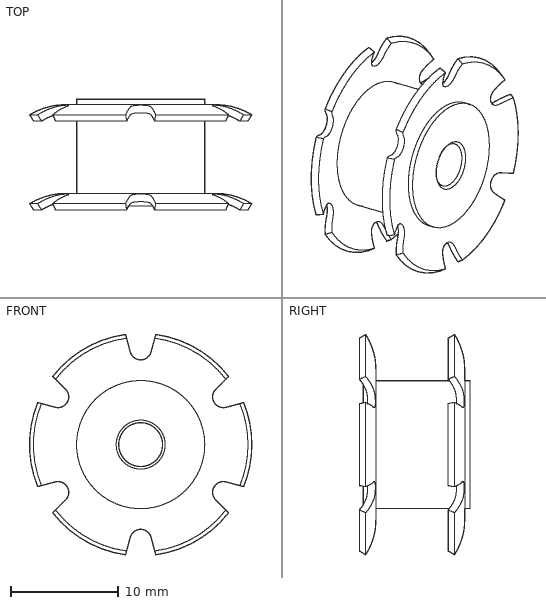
import cadquery as cq
import math

hub_length = 10.0
hub_radius = 5.98
boss_height = 0.5
bore_radius = 2.04
bore_chamfer = 0.25

rim_radius = 10.38
flange_thickness = 0.7
flat_radius = 7.0
curl_radius = 6.44

notch_count = 6
notch_radius = 1.0
notch_floor = 7.91
notch_half_angle = math.radians(15)

hub_front = -hub_length / 2
hub_back = hub_length / 2
flange_backs = (hub_front + boss_height + flange_thickness, hub_back - boss_height)


def flange(back):
    """Revolve a plate with a concentric curled rim; its flat back face is at y = back."""
    curl_angle = math.asin((rim_radius - flat_radius) / curl_radius)

    def curl_point(radius, angle):
        return (
            flat_radius + radius * math.sin(angle),
            back - curl_radius + radius * math.cos(angle),
        )

    concave_radius = curl_radius - flange_thickness
    return (
        cq.Workplane("XY")
        .moveTo(0, back)
        .lineTo(flat_radius, back)
        .threePointArc(curl_point(curl_radius, curl_angle / 2), curl_point(curl_radius, curl_angle))
        .lineTo(*curl_point(concave_radius, curl_angle))
        .threePointArc(
            curl_point(concave_radius, curl_angle / 2),
            (flat_radius, back - flange_thickness),
        )
        .lineTo(0, back - flange_thickness)
        .close()
        .revolve(360, (0, 0), (0, 1))
    )


def notch():
    """Round-bottomed notch at +Z whose flanks open outward, cutting both flanges."""
    center = notch_floor + notch_radius
    flank_x = notch_radius * math.cos(notch_half_angle)
    flank_z = center - notch_radius * math.sin(notch_half_angle)
    mouth_z = rim_radius + notch_radius
    mouth_x = flank_x + (mouth_z - flank_z) * math.tan(notch_half_angle)
    return (
        cq.Workplane("XZ")
        .moveTo(-mouth_x, mouth_z)
        .lineTo(-flank_x, flank_z)
        .threePointArc((0, notch_floor), (flank_x, flank_z))
        .lineTo(mouth_x, mouth_z)
        .close()
        .extrude(hub_length, both=True)
    )


def hub_bore():
    """Through bore, chamfered at both ends."""
    mouth_radius = bore_radius + bore_chamfer
    return (
        cq.Workplane("XY")
        .moveTo(0, hub_front)
        .lineTo(mouth_radius, hub_front)
        .lineTo(bore_radius, hub_front + bore_chamfer)
        .lineTo(bore_radius, hub_back - bore_chamfer)
        .lineTo(mouth_radius, hub_back)
        .lineTo(0, hub_back)
        .close()
        .revolve(360, (0, 0), (0, 1))
    )


hub = cq.Workplane("XZ").circle(hub_radius).extrude(hub_length / 2, both=True)
result = hub
for flange_back in flange_backs:
    result = result.union(flange(flange_back))
for index in range(notch_count):
    angle = index * 360 / notch_count
    result = result.cut(notch().rotate((0, 0, 0), (0, 1, 0), angle))
result = result.cut(hub_bore())